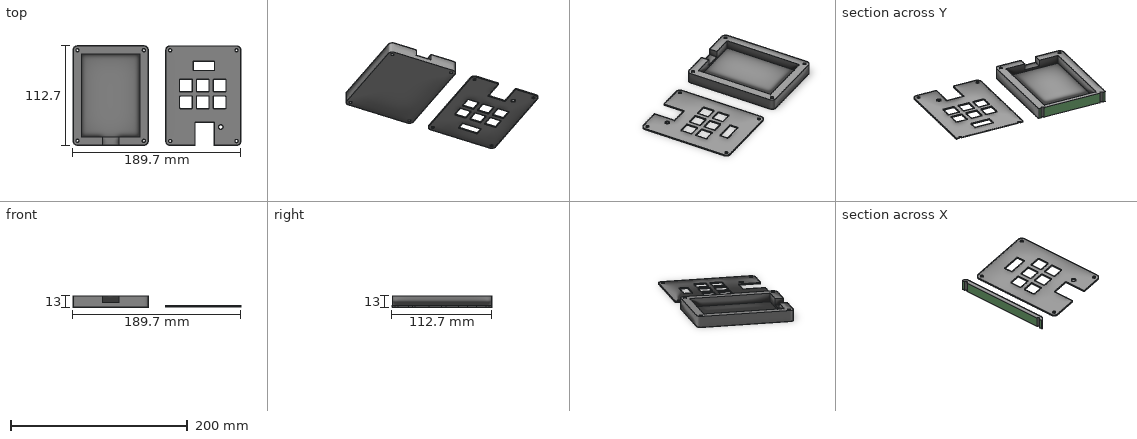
import cadquery as cq

width = 85.0
length = 112.5
corner_radius = 5.0
screw_inset = 5.0
screw_diameter = 3.4

case_height = 13.0
wall = 9.5
cavity_depth = 10.0
cable_notch_width = 18.5
cable_notch_depth = 7.5

plate_thickness = 1.5
plate_offset_x = 104.7
plate_offset_y = -0.16
plate_offset_z = 0.5

key_size = 14.0
key_corner_radius = 0.5
key_pitch = 19.05
key_columns = 3
key_rows = 2
keys_x = -0.6
keys_y = 2.0

display_width = 23.6
display_height = 10.1
display_x = 0.65
display_y = 33.75

board_slot_width = 21.5
board_slot_depth = 26.0
board_slot_x = 1.4

knob_hole_diameter = 5.0
knob_hole_x = 19.75
knob_hole_y = -35.5


def screw_points():
    """Centres of the four corner screws."""
    x = width / 2 - screw_inset
    y = length / 2 - screw_inset
    return [(x, y), (-x, y), (-x, -y), (x, -y)]


def rounded_slab(thickness):
    """Rounded rectangle standing on Z = 0, drilled through at the corner screws."""
    slab = cq.Workplane("XY").rect(width, length).extrude(thickness)
    slab = slab.edges("|Z").fillet(corner_radius)
    screws = cq.Workplane("XY").pushPoints(screw_points()).circle(screw_diameter / 2)
    return slab.cut(screws.extrude(thickness))


def make_case():
    """Open tray with a cable notch through the middle of its -Y wall."""
    cavity = (
        cq.Workplane("XY", origin=(0, 0, case_height))
        .rect(width - 2 * wall, length - 2 * wall)
        .extrude(-cavity_depth)
    )
    notch = (
        cq.Workplane("XY", origin=(0, -length / 2 + wall / 2, case_height))
        .rect(cable_notch_width, wall)
        .extrude(-cable_notch_depth)
    )
    return rounded_slab(case_height).cut(cavity).cut(notch)


def key_openings():
    """Grid of square key openings with rounded corners."""
    return (
        cq.Workplane("XY", origin=(keys_x, keys_y, 0))
        .rarray(key_pitch, key_pitch, key_columns, key_rows)
        .rect(key_size, key_size)
        .extrude(plate_thickness)
        .edges("|Z")
        .fillet(key_corner_radius)
    )


def display_window():
    return (
        cq.Workplane("XY")
        .center(display_x, display_y)
        .rect(display_width, display_height)
        .extrude(plate_thickness)
    )


def board_slot():
    """Slot open at the -Y edge."""
    return (
        cq.Workplane("XY")
        .center(board_slot_x, (board_slot_depth - length) / 2)
        .rect(board_slot_width, board_slot_depth)
        .extrude(plate_thickness)
    )


def knob_hole():
    return (
        cq.Workplane("XY")
        .center(knob_hole_x, knob_hole_y)
        .circle(knob_hole_diameter / 2)
        .extrude(plate_thickness)
    )


def make_plate():
    """Thin cover plate with its cut-outs, moved to its place beside the case."""
    plate = rounded_slab(plate_thickness)
    for cutter in (key_openings(), display_window(), board_slot(), knob_hole()):
        plate = plate.cut(cutter)
    return plate.translate((plate_offset_x, plate_offset_y, plate_offset_z))


case = make_case()
plate = make_plate()

result = cq.Compound.makeCompound([case.val(), plate.val()])